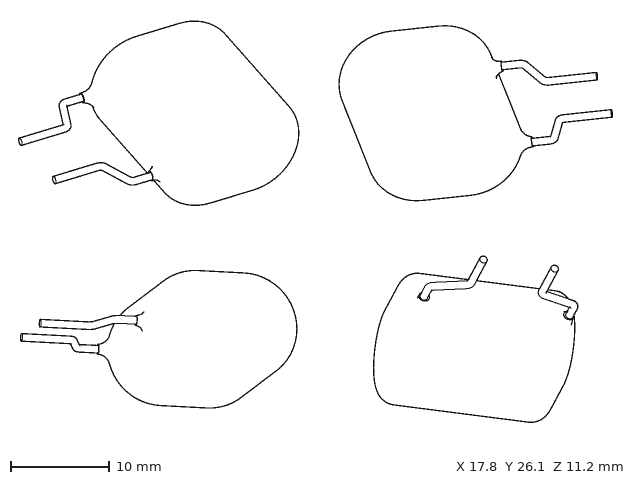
import cadquery as cq
import math

body_width = 17.8
body_depth = 16.1
body_height = 11.2
end_round = 1.8

neck_diameter = 1.0
neck_fillet = 1.5
neck_length = 0.94

wire_diameter = 0.8
root_spacing = 15.34
tip_spacing = 7.5
lead_length = 10.0
first_bend_start = 2.73
bend_radius = 0.6
bend_angle = 70.0

body_front = -body_depth / 2
neck_end = body_front - neck_length
sides = (-1, 1)


def make_body():
    """Rounded body with a filleted neck at the root of each lead."""
    body = (
        cq.Workplane("YZ")
        .slot2D(body_depth, body_height)
        .extrude(body_width / 2, both=True)
        .faces("<X or >X")
        .edges()
        .fillet(end_round)
    )
    stub_length = 2 * neck_fillet
    for side in sides:
        stub = (
            cq.Workplane("XZ", origin=(side * root_spacing / 2, 0, 0))
            .circle(neck_diameter / 2)
            .extrude(stub_length - body_front)
        )
        body = body.union(stub)
    neck_roots = cq.selectors.BoxSelector(
        (-body_width, body_front - neck_fillet / 2, -neck_diameter),
        (body_width, body_front + end_round, neck_diameter),
        boundingbox=True,
    )
    body = body.edges(neck_roots).fillet(neck_fillet)
    trim = (
        cq.Workplane("XZ", origin=(0, neck_end, 0))
        .rect(body_width, body_height)
        .extrude(stub_length)
    )
    return body.cut(trim)


def make_lead(side):
    """Joggled lead from the end of its neck to its tip; side is -1 or 1."""
    angle = math.radians(bend_angle)
    bend_run = bend_radius * (1 - math.cos(angle))
    bend_drop = bend_radius * math.sin(angle)
    mid_bend_run = bend_radius * (1 - math.cos(angle / 2))
    mid_bend_drop = bend_radius * math.sin(angle / 2)

    root_x = root_spacing / 2
    tip_x = tip_spacing / 2
    slope_run = root_x - tip_x - 2 * bend_run
    slope_drop = slope_run / math.tan(angle)

    bend_1_start = body_front - first_bend_start
    bend_1_end = bend_1_start - bend_drop
    bend_2_start = bend_1_end - slope_drop
    bend_2_end = bend_2_start - bend_drop

    path = (
        cq.Workplane("XY")
        .moveTo(side * root_x, neck_end)
        .lineTo(side * root_x, bend_1_start)
        .threePointArc(
            (side * (root_x - mid_bend_run), bend_1_start - mid_bend_drop),
            (side * (root_x - bend_run), bend_1_end),
        )
        .lineTo(side * (tip_x + bend_run), bend_2_start)
        .threePointArc(
            (side * (tip_x + mid_bend_run), bend_2_end + mid_bend_drop),
            (side * tip_x, bend_2_end),
        )
        .lineTo(side * tip_x, body_front - lead_length)
    )
    return (
        cq.Workplane("XZ", origin=(side * root_x, neck_end, 0))
        .circle(wire_diameter / 2)
        .sweep(path)
    )


body = make_body()
leads = [make_lead(side) for side in sides]

result = cq.Compound.makeCompound([body.val(), *[lead.val() for lead in leads]])